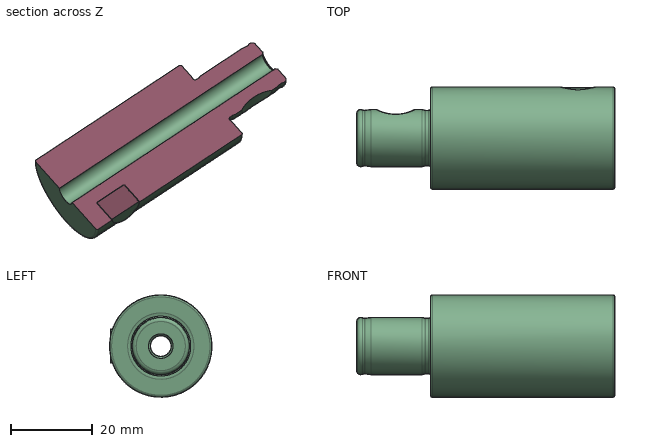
import cadquery as cq
import math


body_radius = 12.5
body_length = 45.0
body_edge_fillet = 0.5
shank_radius = 7.0
shank_length = 18.0
shank_end = -shank_length

bore_radius = 2.5
bore_chamfer = 0.5

nose_radius = 1.0
groove_depth = 0.2
groove_end = shank_end + 2.0
lead_in_length = 1.5

undercut_width = 2.0
undercut_depth = 0.2
undercut_entry_angle = math.radians(15)
undercut_fillet = 0.6
shoulder_recess_radius = 8.1
shoulder_recess_angle = math.radians(8)

relief_radius = 10.0
relief_depth = 1.15
relief_x = shank_end + 9.5

plug_radius = 4.15
plug_length = 6.0
plug_sink = 0.2
plug_x = body_length - 9.0
plug_top = body_radius - plug_sink
plug_bottom = plug_top - plug_length


def polar(center, radius, angle):
    """Point on a circle, given its centre and the angle from +X."""
    return (center[0] + radius * math.cos(angle), center[1] + radius * math.sin(angle))


def turned_blank():
    """Half section of shank and body, revolved about the X axis."""
    groove_radius = shank_radius - groove_depth
    nose_center = (shank_end + nose_radius, shank_radius - nose_radius)
    crest_turn = math.acos(1 - groove_depth / (2 * nose_radius))
    nose_start = (shank_end, nose_center[1])
    nose_crest = (nose_center[0], shank_radius)
    nose_end = polar(nose_center, nose_radius, math.pi / 2 - crest_turn)
    groove_center = polar(nose_center, 2 * nose_radius, math.pi / 2 - crest_turn)
    groove_mid = polar(groove_center, nose_radius, -math.pi / 2 - crest_turn / 2)
    groove_floor_start = (groove_center[0], groove_radius)

    undercut_radius = shank_radius - undercut_depth
    undercut_start = -undercut_width
    entry_foot_x = undercut_start + undercut_depth / math.tan(undercut_entry_angle)

    blend_half_turn = undercut_entry_angle / 2
    blend_end_x = entry_foot_x + undercut_fillet * math.tan(blend_half_turn)
    blend_center = (blend_end_x, undercut_radius + undercut_fillet)
    blend_start = polar(blend_center, undercut_fillet, -math.pi / 2 - undercut_entry_angle)
    blend_mid = polar(blend_center, undercut_fillet, -math.pi / 2 - blend_half_turn)

    slope = shoulder_recess_angle
    corner_center_r = undercut_radius + undercut_fillet
    recess_inner_r = corner_center_r - undercut_fillet * math.sin(slope)
    recess_inner_x = (shoulder_recess_radius - recess_inner_r) * math.tan(slope)
    corner_center_x = recess_inner_x - undercut_fillet * math.cos(slope)
    corner_mid_angle = -(math.pi / 2 + slope) / 2
    corner_mid = polar((corner_center_x, corner_center_r), undercut_fillet, corner_mid_angle)

    rim_center_r = body_radius - body_edge_fillet
    front_rim_x = body_edge_fillet
    rear_rim_x = body_length - body_edge_fillet
    front_rim_mid = polar((front_rim_x, rim_center_r), body_edge_fillet, math.radians(135))
    rear_rim_mid = polar((rear_rim_x, rim_center_r), body_edge_fillet, math.radians(45))

    return (
        cq.Workplane("XY")
        .moveTo(shank_end, 0)
        .lineTo(*nose_start)
        .threePointArc(nose_crest, nose_end)
        .threePointArc(groove_mid, groove_floor_start)
        .lineTo(groove_end, groove_radius)
        .lineTo(groove_end + lead_in_length, shank_radius)
        .lineTo(undercut_start, shank_radius)
        .lineTo(*blend_start)
        .threePointArc(blend_mid, (blend_end_x, undercut_radius))
        .lineTo(corner_center_x, undercut_radius)
        .threePointArc(corner_mid, (recess_inner_x, recess_inner_r))
        .lineTo(0, shoulder_recess_radius)
        .lineTo(0, rim_center_r)
        .threePointArc(front_rim_mid, (front_rim_x, body_radius))
        .lineTo(rear_rim_x, body_radius)
        .threePointArc(rear_rim_mid, (body_length, rim_center_r))
        .lineTo(body_length, 0)
        .close()
        .revolve(360, (0, 0, 0), (1, 0, 0))
    )


def bore():
    """Through bore, chamfered at the shank end."""
    return (
        cq.Workplane("XY")
        .moveTo(shank_end, 0)
        .lineTo(shank_end, bore_radius + bore_chamfer)
        .lineTo(shank_end + bore_chamfer, bore_radius)
        .lineTo(body_length, bore_radius)
        .lineTo(body_length, 0)
        .close()
        .revolve(360, (0, 0, 0), (1, 0, 0))
    )


def shank_relief():
    """Circular segment, extruded along Z, that cuts the hollow in the shank."""
    half_width = math.sqrt(relief_depth * (2 * relief_radius - relief_depth))
    return (
        cq.Workplane("XY")
        .moveTo(relief_x - half_width, shank_radius)
        .threePointArc((relief_x, shank_radius - relief_depth), (relief_x + half_width, shank_radius))
        .close()
        .extrude(shank_radius, both=True)
    )


def radial_cylinder(bottom, top):
    """Cylinder of the plug's radius along Y between two Y levels."""
    return (
        cq.Workplane("XZ", origin=(plug_x, bottom, 0))
        .circle(plug_radius)
        .extrude(bottom - top)
    )


def make_holder():
    plug_hole = radial_cylinder(plug_bottom, body_radius)
    return turned_blank().cut(bore()).cut(shank_relief()).cut(plug_hole)


def make_plug():
    return radial_cylinder(plug_bottom, plug_top)


holder = make_holder()
plug = make_plug()
result = cq.Compound.makeCompound([holder.val(), plug.val()])